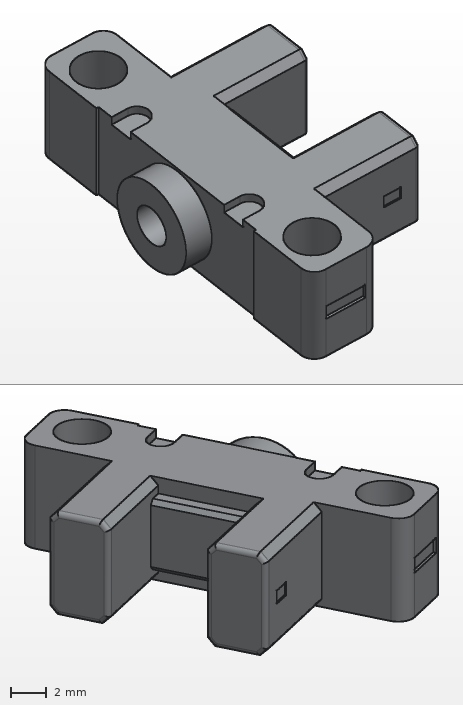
import cadquery as cq

length = 23.9
height = 6.4
wing_depth = 4.92
wing_corner_radius = 0.98
arm_tip_y = 12.21

recess_width = 13.72
recess_depth = 0.17

gap_width = 5.98
arm_width = 3.73
gap_floor_y = 5.71
arm_chamfer = 0.5
arm_tip_fillet = 0.3
arm_center_x = (gap_width + arm_width) / 2
arm_outer_x = gap_width / 2 + arm_width

ledge_depth = 1.0
ledge_setback = 1.0
ledge_chamfer = 0.29

mount_hole_diameter = 3.23
mount_hole_x = 9.32
mount_hole_y = 2.2

boss_diameter = 6.02
boss_projection = 1.7
bore_diameter = 2.53

notch_width = 1.65
notch_x = 4.9
notch_end_y = 2.15
notch_depth = 0.55

wing_pocket_width = 2.82
wing_pocket_height = 0.93
wing_pocket_depth = 0.2
arm_pocket_width = 1.25
arm_pocket_height = 0.81
arm_pocket_depth = 0.1
arm_pocket_tip_distance = 2.0
arm_pocket_y = arm_tip_y - arm_pocket_tip_distance

SIDES = (-1, 1)


def block(x_size, y_start, y_end, z_size, x_center=0.0):
    """Box centred on Z = 0 that spans y_start to y_end."""
    y_size = y_end - y_start
    return cq.Workplane("XY").box(x_size, y_size, z_size).translate((x_center, y_start + y_size / 2, 0))


def make_base():
    """Wings with rounded corners, plus the middle block that ends at the gap floor."""
    wings = block(length, 0, wing_depth, height).edges("|Z").fillet(wing_corner_radius)
    middle = block(gap_width + arm_width, wing_depth / 2, gap_floor_y, height)
    recess = block(recess_width, 0, recess_depth, height)
    return wings.union(middle).cut(recess)


def make_arm(side):
    """Arm with chamfered long edges and a rounded tip; it starts at the back face of the wings."""
    bar = block(arm_width, wing_depth, arm_tip_y, height, side * arm_center_x)
    return bar.edges("|Y").chamfer(arm_chamfer).faces(">Y").edges().fillet(arm_tip_fillet)


def make_ledge():
    """Bar across the gap, chamfered along its upper and lower front edges."""
    ledge = block(gap_width, gap_floor_y, gap_floor_y + ledge_depth, height - 2 * ledge_setback)
    return ledge.faces(">Y").edges("|X").chamfer(ledge_chamfer)


def front_cylinder(diameter, y_start, y_end):
    """Cylinder along Y on the centre of the front face."""
    return cq.Workplane("XZ", origin=(0, y_end, 0)).circle(diameter / 2).extrude(y_end - y_start)


def make_mount_hole(side):
    hole = cq.Workplane("XY").circle(mount_hole_diameter / 2).extrude(height / 2, both=True)
    return hole.translate((side * mount_hole_x, mount_hole_y, 0))


def make_notch(side):
    radius = notch_width / 2
    arc_start_y = notch_end_y - radius
    return (
        cq.Workplane("XY", origin=(side * notch_x, 0, height / 2))
        .moveTo(-radius, 0)
        .lineTo(radius, 0)
        .lineTo(radius, arc_start_y)
        .threePointArc((0, notch_end_y), (-radius, arc_start_y))
        .close()
        .extrude(-notch_depth)
    )


def make_side_pocket(side, face_x, y_center, width, pocket_height, depth):
    """Rectangular pocket sunk into the outward face at X = side * face_x."""
    pocket = cq.Workplane("XY").box(depth, width, pocket_height)
    return pocket.translate((side * (face_x - depth / 2), y_center, 0))


result = make_base().union(make_ledge())
result = result.union(front_cylinder(boss_diameter, -boss_projection, recess_depth))
result = result.cut(front_cylinder(bore_diameter, -boss_projection, recess_depth))

for side in SIDES:
    result = result.union(make_arm(side))
    result = result.cut(make_mount_hole(side))
    result = result.cut(make_notch(side))
    result = result.cut(
        make_side_pocket(
            side, length / 2, wing_depth / 2, wing_pocket_width, wing_pocket_height, wing_pocket_depth
        )
    )
    result = result.cut(
        make_side_pocket(
            side, arm_outer_x, arm_pocket_y, arm_pocket_width, arm_pocket_height, arm_pocket_depth
        )
    )